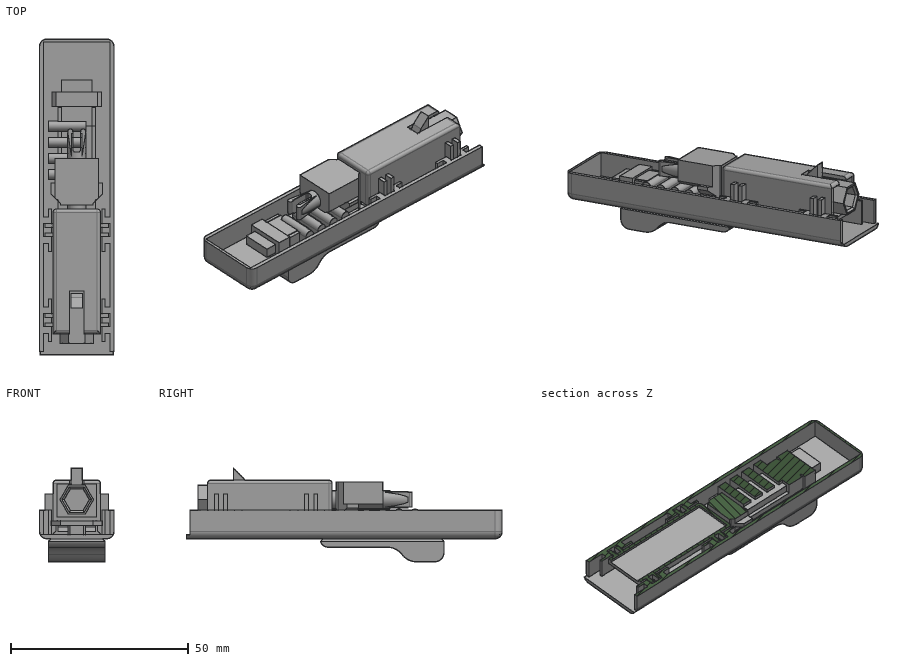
import cadquery as cq
import math


TRAY_LENGTH = 89.0
TRAY_WIDTH = 21.0
TRAY_HEIGHT = 8.1
TRAY_EDGE_RADIUS = 2.05
FLOOR_THICKNESS = 1.2
SIDE_WALL = 1.2
BACK_WALL = 0.8
LIP_LENGTH = 1.0
TRAY_BACK = TRAY_LENGTH / 2
TRAY_FRONT = -TRAY_LENGTH / 2
WALL_INNER_X = TRAY_WIDTH / 2 - SIDE_WALL

STATION_YS = (-9.35, -34.7)
GUIDE_INNER_X = 7.1
GUIDE_THICKNESS = 0.8
GUIDE_LENGTH = 11.9
WEB_LENGTH = 7.5
RIB_THICKNESS = 1.1
RIB_PITCH = 2.6
RIB_OUTER_X = 9.0
RIB_TOP = 12.6
NOTCH_LENGTH = RIB_PITCH + RIB_THICKNESS

HOUSING_WIDTH = 13.35
HOUSING_BACK = -3.4
HOUSING_FRONT = -38.5
HOUSING_BOTTOM = 5.1
HOUSING_TOP = 16.55
HOUSING_WALL = 1.1
HOUSING_RADIUS = 1.0
CATCH_SLOT_WIDTH = 4.1
CATCH_SLOT_BACK = -26.5

AXIS_Z = 11.0
SHAFT_DIAMETER = 5.2
HEX_FLATS = 8.2
HEX_FRONT = -41.2
HEX_BACK = -22.25
SOCKET_MOUTH_FLATS = 7.2
SOCKET_FLATS = 6.1
SOCKET_CHAMFER_DEPTH = 0.5
SOCKET_DEPTH = 13.35
CATCH_WIDTH = 3.1
CATCH_FRONT = -31.2
CATCH_TOP = 19.9
CATCH_RAMP = 2.9
CATCH_BACK = -27.2
SHAFT_BACK = 17.9
PRONG_ROOT = 11.6
PRONG_END = 19.1
PRONG_HEIGHT = 4.3
PRONG_ROOT_HALF_WIDTH = 1.5
PRONG_END_HALF_WIDTH = 2.7
PRONG_END_RADIUS = 0.7
FORK_SLOT_WIDTH = 2.1
FORK_SLOT_FRONT = 12.7
FORK_SLOT_CHAMFER = 0.4

COLLAR_HALF_WIDTH = 6.1
COLLAR_BACK = 10.9
COLLAR_FRONT = -2.3
COLLAR_TOP = 16.0
COLLAR_BOTTOM = 3.7
COLLAR_NOSE_HALF_WIDTH = 4.6
COLLAR_NOSE_BACK = -1.8
WING_HALF_WIDTH = 7.2
WING_BACK = 4.0
WING_TOP = 9.8
WING_BOTTOM = 8.7
GROOVE_HALF_WIDTH = 5.4
GROOVE_BOTTOM = 5.1
UNDERCUT_BOTTOM = 8.5
UNDERCUT_HALF_WIDTH = 4.45

CARRIAGE_WIDTH = 10.7
CARRIAGE_BACK = 25.2
CARRIAGE_FRONT = -4.45
CARRIAGE_BOTTOM = 2.1
CARRIAGE_RAMP_TOP = 3.4
CARRIAGE_RAMP_LENGTH = 0.45
STEM_WIDTH = 4.8
STEM_CHAMFER = 0.5
STEM_FRONT = -5.3
PLATE_WIDTH = 8.6
TAB_BACK = 32.9
TAB_TOP = 6.6
PLATE_TOP = 7.5
LEDGE_TOP = 7.3
FRONT_PLATE_TOP = 5.9
CROSSBAR_BACK = 29.6
CROSSBAR_FRONT = 25.5
CROSSBAR_HALF_WIDTH = 5.8
CROSSBAR_FOOT = 1.2
CROSSBAR_TOP = 8.0
BAR_COUNT = 4
BAR_THICKNESS = 2.85
BAR_PITCH = 4.5
FIRST_BAR_Y = 19.9
BAR_LEFT = -7.9
BAR_RIGHT = 2.6
BAR_TOP = 8.4
LAST_BAR_FRONT = FIRST_BAR_Y - (BAR_COUNT - 1) * BAR_PITCH - BAR_THICKNESS / 2

THUMB_WIDTH = 16.0
THUMB_BACK = 28.1
THUMB_FRONT = -6.7
THUMB_CHAMFER = 0.7
THUMB_EDGE_DEPTH = 0.8
THUMB_BOTTOM = -6.5
THUMB_BACK_RADIUS = 2.7
THUMB_FLAT_FRONT = 20.4
THUMB_NECK_BACK = 12.2
THUMB_NECK_BOTTOM = -2.4
THUMB_NECK_FRONT = -4.45


def box(x0, x1, y0, y1, z0, z1):
    """Box between two corners."""
    return cq.Workplane("XY").box(x1 - x0, y1 - y0, z1 - z0, centered=False).translate((x0, y0, z0))


def centred_box(width, y0, y1, z0, z1):
    """Box centred on X = 0."""
    return box(-width / 2, width / 2, y0, y1, z0, z1)


def side_profile(points, width):
    """Extrude a closed (Y, Z) outline to a width centred on X = 0."""
    return cq.Workplane("YZ").polyline(points).close().extrude(width / 2, both=True)


def along_y(y):
    """Workplane on the plug axis at y, facing +Y."""
    return cq.Workplane(cq.Plane(origin=(0, y, AXIS_Z), xDir=(1, 0, 0), normal=(0, 1, 0)))


def rod(diameter, y0, y1):
    """Cylinder on the plug axis."""
    return along_y(y0).circle(diameter / 2).extrude(y1 - y0)


def both_sides(body):
    """Body together with its mirror image across X = 0."""
    return body.union(body.mirror("YZ"))


def corner_diameter(flats):
    """Diameter across the corners of a hexagon, from its width across the flats."""
    return flats / math.cos(math.pi / 6)



def tray_shell():
    """Open tray with rounded lower and back edges and an open front with a lip."""
    shell = centred_box(TRAY_WIDTH, TRAY_FRONT, TRAY_BACK, 0, TRAY_HEIGHT)
    shell = shell.edges("|Z and >Y").fillet(TRAY_EDGE_RADIUS)
    shell = shell.faces("<Z").edges("not <Y").fillet(TRAY_EDGE_RADIUS)
    cavity = centred_box(
        2 * WALL_INNER_X, TRAY_FRONT, TRAY_BACK - BACK_WALL, FLOOR_THICKNESS, TRAY_HEIGHT
    )
    above_lip = centred_box(
        TRAY_WIDTH, TRAY_FRONT, TRAY_FRONT + LIP_LENGTH, FLOOR_THICKNESS, TRAY_HEIGHT
    )
    return shell.cut(cavity).cut(above_lip)


def guide(y):
    """Guide wall joined to the side wall by a web, with a notch for a pair of ribs."""
    guide_outer_x = GUIDE_INNER_X + GUIDE_THICKNESS
    wall = box(
        GUIDE_INNER_X, guide_outer_x,
        y - GUIDE_LENGTH / 2, y + GUIDE_LENGTH / 2, FLOOR_THICKNESS, TRAY_HEIGHT,
    )
    web = box(
        guide_outer_x, WALL_INNER_X,
        y - WEB_LENGTH / 2, y + WEB_LENGTH / 2, FLOOR_THICKNESS, TRAY_HEIGHT,
    )
    notch = box(
        GUIDE_INNER_X, WALL_INNER_X,
        y - NOTCH_LENGTH / 2, y + NOTCH_LENGTH / 2, HOUSING_BOTTOM, TRAY_HEIGHT,
    )
    return wall.union(web).cut(notch)


def make_tray():
    tray = tray_shell()
    for y in STATION_YS:
        tray = tray.union(both_sides(guide(y)))
    return tray.cut(slider_stem())



def rib_pairs(y):
    """Pair of ribs on both sides of the housing, centred on y."""
    one_side = cq.Workplane("XY")
    for rib_y in (y - RIB_PITCH / 2, y + RIB_PITCH / 2):
        one_side = one_side.union(
            box(
                HOUSING_WIDTH / 2, RIB_OUTER_X,
                rib_y - RIB_THICKNESS / 2, rib_y + RIB_THICKNESS / 2, HOUSING_BOTTOM, RIB_TOP,
            )
        )
    return both_sides(one_side)


def make_housing():
    """Box open at the front, with a slot for the catch and a bore for the shaft."""
    housing = centred_box(HOUSING_WIDTH, HOUSING_FRONT, HOUSING_BACK, HOUSING_BOTTOM, HOUSING_TOP)
    housing = housing.edges(">Z or (|Z and >Y)").fillet(HOUSING_RADIUS)
    cavity = centred_box(
        HOUSING_WIDTH - 2 * HOUSING_WALL, HOUSING_FRONT, HOUSING_BACK - HOUSING_WALL,
        HOUSING_BOTTOM + HOUSING_WALL, HOUSING_TOP - HOUSING_WALL,
    )
    catch_slot = centred_box(CATCH_SLOT_WIDTH, HOUSING_FRONT, CATCH_SLOT_BACK, AXIS_Z, HOUSING_TOP)
    shaft_bore = rod(SHAFT_DIAMETER, HOUSING_BACK - HOUSING_WALL, HOUSING_BACK)
    housing = housing.cut(cavity).cut(catch_slot).cut(shaft_bore)
    for y in STATION_YS:
        housing = housing.union(rib_pairs(y))
    return housing



def hex_head():
    """Hexagonal head with a hexagonal socket, chamfered at its mouth, in its front end."""
    head = along_y(HEX_FRONT).polygon(6, corner_diameter(HEX_FLATS)).extrude(HEX_BACK - HEX_FRONT)
    socket = along_y(HEX_FRONT).polygon(6, corner_diameter(SOCKET_FLATS)).extrude(SOCKET_DEPTH)
    mouth = (
        along_y(HEX_FRONT)
        .polygon(6, corner_diameter(SOCKET_MOUTH_FLATS))
        .workplane(offset=SOCKET_CHAMFER_DEPTH)
        .polygon(6, corner_diameter(SOCKET_FLATS))
        .loft()
    )
    return head.cut(socket).cut(mouth)


def catch():
    """Ramped catch on the top flat of the head."""
    head_top = AXIS_Z + HEX_FLATS / 2
    return side_profile(
        [
            (CATCH_FRONT, head_top),
            (CATCH_FRONT, CATCH_TOP),
            (CATCH_FRONT + CATCH_RAMP, CATCH_TOP - CATCH_RAMP),
            (CATCH_BACK, head_top),
        ],
        CATCH_WIDTH,
    )


def prongs():
    """Flat-topped prongs that widen towards their rounded ends."""
    fork = (
        cq.Workplane("XY", origin=(0, 0, AXIS_Z))
        .polyline(
            [
                (-PRONG_ROOT_HALF_WIDTH, PRONG_ROOT),
                (PRONG_ROOT_HALF_WIDTH, PRONG_ROOT),
                (PRONG_END_HALF_WIDTH, PRONG_END),
                (-PRONG_END_HALF_WIDTH, PRONG_END),
            ]
        )
        .close()
        .extrude(PRONG_HEIGHT / 2, both=True)
    )
    fork = fork.cut(fork_slot())
    return fork.edges("|Z and >Y").fillet(PRONG_END_RADIUS)


def fork_slot():
    """Slot between the prongs, with chamfered inner corners."""
    slot = centred_box(
        FORK_SLOT_WIDTH, FORK_SLOT_FRONT, PRONG_END, AXIS_Z - SHAFT_DIAMETER, AXIS_Z + SHAFT_DIAMETER
    )
    return slot.edges("|Z and <Y").chamfer(FORK_SLOT_CHAMFER)


def make_plug():
    """Head, shaft and forked end in one piece."""
    shaft = rod(SHAFT_DIAMETER, HEX_BACK, SHAFT_BACK).cut(fork_slot())
    return hex_head().union(catch()).union(shaft).union(prongs())



def collar_outline(half_width, back):
    """Plan outline whose front corners taper at 45 degrees to a narrow nose."""
    taper_back = COLLAR_NOSE_BACK + half_width - COLLAR_NOSE_HALF_WIDTH
    right = [
        (half_width, back),
        (half_width, taper_back),
        (COLLAR_NOSE_HALF_WIDTH, COLLAR_NOSE_BACK),
        (COLLAR_NOSE_HALF_WIDTH, COLLAR_FRONT),
    ]
    left = [(-x, y) for x, y in reversed(right)]
    return cq.Workplane("XY").polyline(right + left).close()


def side_groove():
    """Groove under a wing, with a 45 degree upper face."""
    return (
        cq.Workplane("XZ", origin=(0, WING_BACK, 0))
        .polyline(
            [
                (WING_HALF_WIDTH, WING_BOTTOM),
                (GROOVE_HALF_WIDTH, WING_BOTTOM - (WING_HALF_WIDTH - GROOVE_HALF_WIDTH)),
                (GROOVE_HALF_WIDTH, GROOVE_BOTTOM),
                (WING_HALF_WIDTH, GROOVE_BOTTOM),
            ]
        )
        .close()
        .extrude(WING_BACK - COLLAR_FRONT)
    )


def make_collar():
    """Block on the shaft: a winged lower front and a raised, undercut rear."""
    upper = (
        collar_outline(COLLAR_HALF_WIDTH, COLLAR_BACK)
        .extrude(COLLAR_TOP - WING_TOP)
        .translate((0, 0, WING_TOP))
    )
    wings = (
        collar_outline(WING_HALF_WIDTH, WING_BACK)
        .extrude(WING_TOP - COLLAR_BOTTOM)
        .translate((0, 0, COLLAR_BOTTOM))
    )
    rear_underside = (
        cq.Workplane("XZ", origin=(0, COLLAR_BACK, 0))
        .polyline(
            [
                (-COLLAR_HALF_WIDTH, WING_TOP),
                (COLLAR_HALF_WIDTH, WING_TOP),
                (UNDERCUT_HALF_WIDTH, UNDERCUT_BOTTOM),
                (-UNDERCUT_HALF_WIDTH, UNDERCUT_BOTTOM),
            ]
        )
        .close()
        .extrude(COLLAR_BACK - WING_BACK)
    )
    bore = rod(SHAFT_DIAMETER, COLLAR_FRONT, COLLAR_BACK)
    return upper.union(wings).union(rear_underside).cut(bore).cut(both_sides(side_groove()))



def slider_stem():
    """Stem that passes through the tray floor."""
    stem = centred_box(STEM_WIDTH, STEM_FRONT, CARRIAGE_BACK, 0, COLLAR_BOTTOM)
    return stem.edges("|Z and <Y").chamfer(STEM_CHAMFER)


def carriage():
    """Low plate that carries the collar, with a small ramp across its front end."""
    return side_profile(
        [
            (CARRIAGE_BACK, CARRIAGE_BOTTOM),
            (CARRIAGE_BACK, COLLAR_BOTTOM),
            (CARRIAGE_FRONT + CARRIAGE_RAMP_LENGTH, COLLAR_BOTTOM),
            (CARRIAGE_FRONT + CARRIAGE_RAMP_LENGTH, CARRIAGE_RAMP_TOP),
            (CARRIAGE_FRONT, CARRIAGE_BOTTOM),
        ],
        CARRIAGE_WIDTH,
    )


def top_plate():
    """Stepped plate: a low tab at the back, a high ledged middle and a low front under the bars."""
    tab = centred_box(PLATE_WIDTH, CROSSBAR_FRONT, TAB_BACK, COLLAR_BOTTOM, TAB_TOP)
    middle = centred_box(PLATE_WIDTH, FIRST_BAR_Y, CROSSBAR_FRONT, COLLAR_BOTTOM, PLATE_TOP)
    ledges = centred_box(CARRIAGE_WIDTH, FIRST_BAR_Y, CARRIAGE_BACK, COLLAR_BOTTOM, LEDGE_TOP)
    front = centred_box(PLATE_WIDTH, LAST_BAR_FRONT, FIRST_BAR_Y, COLLAR_BOTTOM, FRONT_PLATE_TOP)
    return tab.union(middle).union(ledges).union(front)


def crossbar():
    """Bar across the tray floor with flared feet."""
    half_foot = CROSSBAR_HALF_WIDTH + CROSSBAR_FOOT
    right = [
        (half_foot, FLOOR_THICKNESS),
        (CROSSBAR_HALF_WIDTH, FLOOR_THICKNESS + CROSSBAR_FOOT),
        (CROSSBAR_HALF_WIDTH, CROSSBAR_TOP),
    ]
    left = [(-x, z) for x, z in reversed(right)]
    return (
        cq.Workplane("XZ", origin=(0, CROSSBAR_BACK, 0))
        .polyline(right + left)
        .close()
        .extrude(CROSSBAR_BACK - CROSSBAR_FRONT)
    )


def bar(y):
    """Upright bar along X with a half-round top."""
    radius = BAR_THICKNESS / 2
    return (
        cq.Workplane("YZ", origin=(BAR_LEFT, 0, 0))
        .moveTo(y - radius, COLLAR_BOTTOM)
        .lineTo(y - radius, BAR_TOP - radius)
        .threePointArc((y, BAR_TOP), (y + radius, BAR_TOP - radius))
        .lineTo(y + radius, COLLAR_BOTTOM)
        .close()
        .extrude(BAR_RIGHT - BAR_LEFT)
    )


def thumb():
    """Thumb grip with a deep back, a smooth step and a thin front."""
    step_middle = (
        (THUMB_FLAT_FRONT + THUMB_NECK_BACK) / 2,
        (THUMB_BOTTOM + THUMB_NECK_BOTTOM) / 2,
    )
    grip = (
        cq.Workplane("YZ")
        .moveTo(THUMB_FRONT, 0)
        .lineTo(THUMB_BACK, 0)
        .lineTo(THUMB_BACK, THUMB_BOTTOM + THUMB_BACK_RADIUS)
        .tangentArcPoint((THUMB_BACK - THUMB_BACK_RADIUS, THUMB_BOTTOM), relative=False)
        .lineTo(THUMB_FLAT_FRONT, THUMB_BOTTOM)
        .tangentArcPoint(step_middle, relative=False)
        .tangentArcPoint((THUMB_NECK_BACK, THUMB_NECK_BOTTOM), relative=False)
        .lineTo(THUMB_NECK_FRONT, THUMB_NECK_BOTTOM)
        .tangentArcPoint((THUMB_FRONT, -THUMB_EDGE_DEPTH), relative=False)
        .close()
        .extrude(THUMB_WIDTH / 2, both=True)
    )
    return grip.faces(">Z").chamfer(THUMB_CHAMFER)


def make_slider():
    """Thumb grip, stem, carriage, top plate, crossbar and bars in one piece."""
    slider = thumb().union(slider_stem()).union(carriage()).union(top_plate()).union(crossbar())
    for index in range(BAR_COUNT):
        slider = slider.union(bar(FIRST_BAR_Y - index * BAR_PITCH))
    return slider


tray = make_tray()
housing = make_housing()
plug = make_plug()
collar = make_collar()
slider = make_slider()

result = cq.Compound.makeCompound(
    [tray.val(), housing.val(), plug.val(), collar.val(), slider.val()]
)